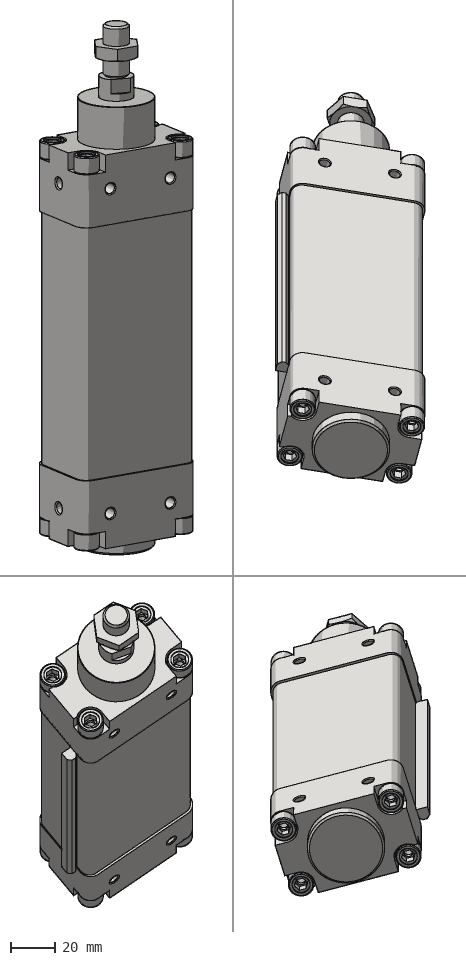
import cadquery as cq
import math

total_height = 244.5
rear_boss_height = 5.9
cap_height = 33.0
front_cap_top = 190.5
collar_top = 210.3
shoulder_height = 220.3
nut_bottom = 229.3
nut_height = 6.0

cap_width = 40.0
cap_depth = 62.0
corner_radius = 5.9
barrel_width = 38.0
barrel_depth = 60.6
barrel_y = 0.2
barrel_radius = 5.0

rear_cap_bottom = rear_boss_height
rear_cap_top = rear_cap_bottom + cap_height
front_cap_bottom = front_cap_top - cap_height

boss_diameter = 35.0
boss_chamfer = 1.0
collar_chamfer = 0.2

screw_x = cap_width / 2 - corner_radius
screw_y = cap_depth / 2 - corner_radius
pocket_radius = 6.4
pocket_depth = 8.0
front_pocket_wall = pocket_radius
back_pocket_wall = 5.0
screw_head_diameter = 11.5
screw_head_chamfer = 0.5
screw_socket_diameter = 8.0
screw_socket_depth = 0.7
screw_hexagon_across_flats = 5.5
screw_hexagon_depth = 5.0
screw_hole_diameter = 4.2
screw_hole_depth = 6.8

drill_point_angle = 118.0
hole_height_in_cap = 16.1
mount_hole_mouth = 5.9
mount_hole_diameter = 5.0
mount_hole_depth = 7.3
mount_hole_y = 16.1
port_mouth = 6.0
port_diameter = 5.0
port_thread_depth = 5.0
port_inner_diameter = 4.2
port_depth = 9.8

rail_left = -12.7
rail_right = -7.0
rail_back = 36.2
rail_chamfer = 1.7
rail_undercut = 1.5

rod_diameter = 16.0
thread_diameter = 12.0
thread_chamfer = 1.0
rod_flat_distance = 13.0
rod_flat_height = 6.5
rod_flat_angle = -15.0
nut_across_flats = 19.0
nut_chamfer_angle = 30.0


def rounded_block(width, depth, radius, z_bottom, z_top):
    return (
        cq.Workplane("XY", origin=(0, 0, z_bottom))
        .rect(width, depth)
        .extrude(z_top - z_bottom)
        .edges("|Z")
        .fillet(radius)
    )


def cylinder(diameter, z_bottom, z_top):
    return cq.Workplane("XY", origin=(0, 0, z_bottom)).circle(diameter / 2).extrude(z_top - z_bottom)


def drill(diameter, depth):
    """Cutter with its mouth at the origin, going down -Z to a conical point."""
    radius = diameter / 2
    point = radius / math.tan(math.radians(drill_point_angle / 2))
    return (
        cq.Workplane("XZ")
        .polyline([(0, 0), (radius, 0), (radius, -depth), (0, -depth - point)])
        .close()
        .revolve(360, (0, 0, 0), (0, 1, 0))
    )


def countersink(mouth_diameter, hole_diameter):
    """45 degree cutter that widens a hole to mouth_diameter at z = 0."""
    mouth_radius = mouth_diameter / 2
    hole_radius = hole_diameter / 2
    depth = mouth_radius - hole_radius
    return (
        cq.Workplane("XZ")
        .polyline([(0, 0), (mouth_radius, 0), (hole_radius, -depth), (0, -depth)])
        .close()
        .revolve(360, (0, 0, 0), (0, 1, 0))
    )


def hexagon(across_flats, z_bottom, z_top):
    """Hexagonal prism on the Z axis with corners on +Y and -Y."""
    half_side_angle = math.radians(180 / 6)
    across_corners = across_flats / math.cos(half_side_angle)
    return (
        cq.Workplane("XY", origin=(0, 0, z_bottom))
        .polygon(6, across_corners)
        .extrude(z_top - z_bottom)
        .rotate((0, 0, 0), (0, 0, 1), 90)
    )


def corner_pocket(side_wall):
    """Pocket cutter for the +X +Y corner, its mouth at z = 0 and the screw axis on the origin.

    The wall towards the middle of the cap stands side_wall away from the screw axis.
    """
    reach = 2 * corner_radius
    width = side_wall + reach
    height = pocket_radius + reach
    open_corner = (
        cq.Workplane("XY", origin=(0, 0, -pocket_depth))
        .rect(width, height)
        .extrude(pocket_depth)
        .translate(((reach - side_wall) / 2, (reach - pocket_radius) / 2, 0))
    )
    inner_corner = (
        cq.Workplane("XY", origin=(0, 0, -pocket_depth))
        .rect(2 * pocket_radius, 2 * pocket_radius)
        .extrude(pocket_depth)
        .translate((-pocket_radius, -pocket_radius, 0))
    )
    return open_corner.cut(inner_corner).union(cylinder(2 * pocket_radius, -pocket_depth, 0))


def screw_head():
    """Socket head standing in a pocket, its top at z = 0."""
    head = cylinder(screw_head_diameter, -pocket_depth, 0).faces("<Z or >Z").chamfer(screw_head_chamfer)
    head = head.cut(cylinder(screw_socket_diameter, -screw_socket_depth, 0))
    head = head.cut(hexagon(screw_hexagon_across_flats, -screw_hexagon_depth, 0))
    return head.cut(drill(screw_hole_diameter, screw_hole_depth))


def end_cap():
    """Cap with its outer face at z = 0 and its body below."""
    cap = rounded_block(cap_width, cap_depth, corner_radius, -cap_height, 0)
    for y_side, side_wall in ((-1, front_pocket_wall), (1, back_pocket_wall)):
        for x_side in (-1, 1):
            pocket = corner_pocket(side_wall).translate((screw_x, screw_y, 0))
            if x_side < 0:
                pocket = pocket.mirror("YZ")
            if y_side < 0:
                pocket = pocket.mirror("XZ")
            head = screw_head().translate((x_side * screw_x, y_side * screw_y, 0))
            cap = cap.cut(pocket).union(head)

    hole_z = -hole_height_in_cap
    mount_hole = drill(mount_hole_diameter, mount_hole_depth)
    mount_hole = mount_hole.union(countersink(mount_hole_mouth, mount_hole_diameter))
    for side in (-1, 1):
        sideways = mount_hole.rotate((0, 0, 0), (0, 1, 0), side * 90)
        for y in (-mount_hole_y, mount_hole_y):
            cap = cap.cut(sideways.translate((side * cap_width / 2, y, hole_z)))

    port = cylinder(port_diameter, -port_thread_depth, 0)
    port = port.union(cylinder(port_inner_diameter, -port_depth, 0))
    port = port.union(countersink(port_mouth, port_diameter))
    port = port.rotate((0, 0, 0), (1, 0, 0), 90)
    return cap.cut(port.translate((0, -cap_depth / 2, hole_z)))


def make_rail():
    """Strip between the caps, sunk slightly into the back of the barrel."""
    base = barrel_y + barrel_depth / 2 - rail_undercut
    side_start = cap_depth / 2 + rail_undercut
    return (
        cq.Workplane("XY", origin=(0, 0, rear_cap_top))
        .polyline([
            (rail_right, base),
            (rail_right, rail_back),
            (rail_left + rail_chamfer, rail_back),
            (rail_left, rail_back - rail_chamfer),
            (rail_left, side_start),
            (rail_left + rail_undercut, cap_depth / 2),
            (rail_left + rail_undercut, base),
        ])
        .close()
        .extrude(front_cap_bottom - rear_cap_top)
    )


def make_housing():
    """Barrel, both caps with their screws, collar, boss and rail as one solid, bored for the rod."""
    barrel = rounded_block(barrel_width, barrel_depth, barrel_radius, rear_cap_top, front_cap_bottom)
    barrel = barrel.translate((0, barrel_y, 0))
    front_cap = end_cap().translate((0, 0, front_cap_top))
    rear_cap = end_cap().mirror("XY").translate((0, 0, rear_cap_bottom))
    collar = cylinder(boss_diameter, front_cap_top, collar_top).faces(">Z").chamfer(collar_chamfer)
    boss = cylinder(boss_diameter, 0, rear_cap_bottom).faces("<Z").chamfer(boss_chamfer)
    rod_bore = cylinder(rod_diameter, front_cap_top, collar_top)
    body = barrel
    for feature in (front_cap, rear_cap, collar, boss, make_rail()):
        body = body.union(feature)
    return body.cut(rod_bore)


def make_rod():
    """Rod with two wrench flats under the shoulder and a thinner threaded end."""
    shank = cylinder(rod_diameter, front_cap_top, shoulder_height)
    between_flats = (
        cq.Workplane("XY", origin=(0, 0, shoulder_height - rod_flat_height))
        .rect(rod_flat_distance, 2 * rod_diameter)
        .extrude(rod_flat_height)
        .rotate((0, 0, 0), (0, 0, 1), rod_flat_angle)
    )
    flat_zone = cylinder(2 * rod_diameter, shoulder_height - rod_flat_height, shoulder_height)
    shank = shank.cut(flat_zone.cut(between_flats))
    thread = cylinder(thread_diameter, shoulder_height, total_height)
    thread = thread.faces("<Z or >Z").chamfer(thread_chamfer)
    return shank.union(thread)


def make_nut():
    """Hexagon nut whose lower corners are cut by a cone."""
    blank = hexagon(nut_across_flats, nut_bottom, nut_bottom + nut_height)
    slope = math.tan(math.radians(nut_chamfer_angle))
    cone_top_radius = nut_across_flats / 2 + nut_height / slope
    chamfer_cone = (
        cq.Workplane("XZ", origin=(0, 0, nut_bottom))
        .polyline([(0, 0), (nut_across_flats / 2, 0), (cone_top_radius, nut_height), (0, nut_height)])
        .close()
        .revolve(360, (0, 0, 0), (0, 1, 0))
    )
    return blank.intersect(chamfer_cone).cut(cylinder(thread_diameter, nut_bottom, nut_bottom + nut_height))


housing = make_housing()
rod = make_rod()
nut = make_nut()

result = cq.Compound.makeCompound([housing.val(), rod.val(), nut.val()])